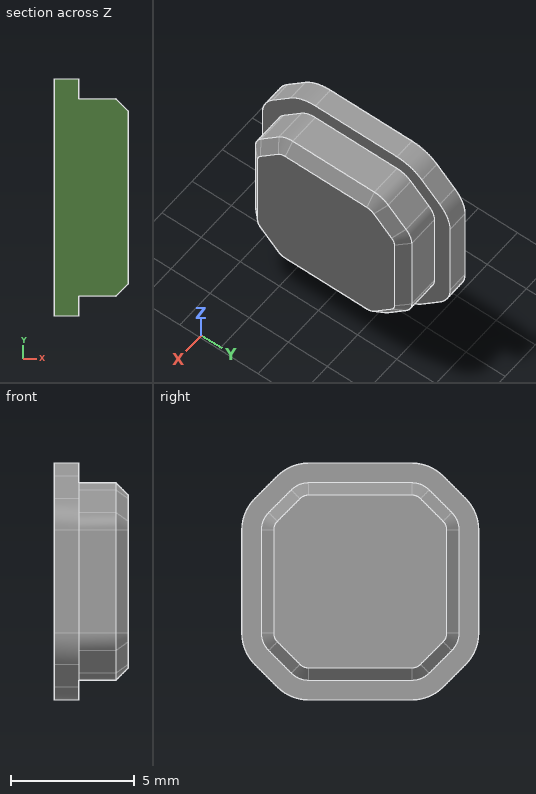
import math

import cadquery as cq

flange_thickness = 1.0
plug_length = 2.0
plug_width = 8.0
plug_corner_cut = 1.5
plug_blend_radius = 1.0
flange_overhang = 0.8
lead_in_chamfer = 0.5

flange_width = plug_width + 2 * flange_overhang
flange_corner_cut = plug_corner_cut + flange_overhang * (2 - math.sqrt(2))
flange_blend_radius = plug_blend_radius + flange_overhang


def cut_corner_prism(width, corner_cut, blend_radius, length):
    """Square prism along +X from X = 0 with cut corners blended into the sides."""
    return (
        cq.Workplane("YZ")
        .rect(width, width)
        .extrude(length)
        .edges("|X")
        .chamfer(corner_cut)
        .edges("|X")
        .fillet(blend_radius)
    )


def make_flange():
    """Thin plate that overhangs the plug evenly all round."""
    return cut_corner_prism(flange_width, flange_corner_cut, flange_blend_radius, flange_thickness)


def make_plug():
    """Plug with a lead-in chamfer, running through the flange for a solid joint."""
    total_length = flange_thickness + plug_length
    plug = cut_corner_prism(plug_width, plug_corner_cut, plug_blend_radius, total_length)
    return plug.faces(">X").chamfer(lead_in_chamfer)


result = make_flange().union(make_plug()).clean()